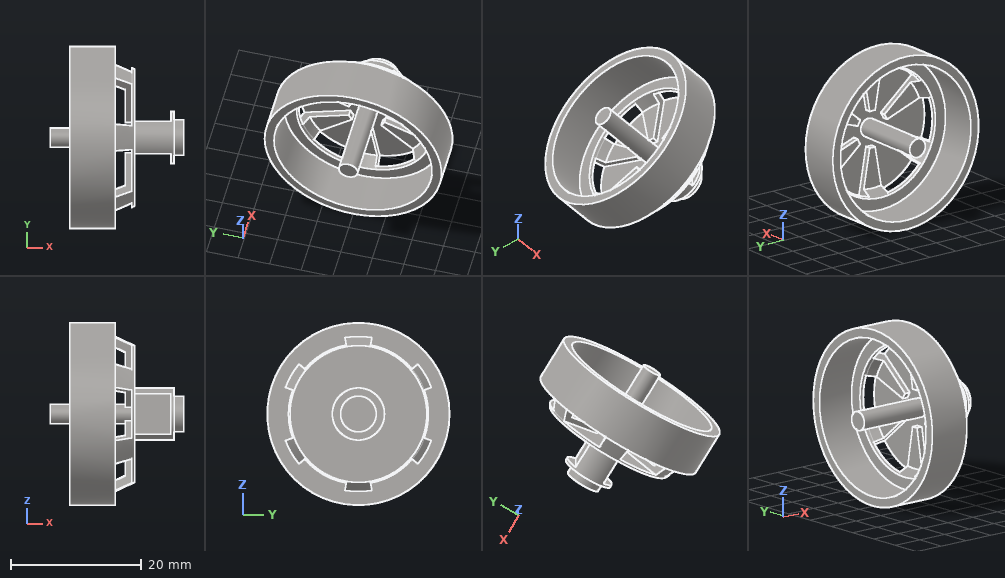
import cadquery as cq
import math

drum_start = 3.0
drum_end = 10.0
end_wall = 0.5
spoke_depth = 0.98
plate_end = 13.0
plate_start = plate_end - end_wall
spoke_start = plate_start - spoke_depth
flats_end = 18.5
hub_end = 19.0
overall_length = 20.5

drum_diameter = 28
drum_bore = 25.0
shaft_diameter = 3.0
hub_diameter = 8.0
tip_diameter = 5.5
hub_across_flats = 5.0

cone_large_radius = 11.9
cone_small_radius = 10.5
opening_radius = 10.55
cone_inner_slope = 0.5
spoke_count = 6
spoke_angle = 20
spoke_inner_radius = 3.0


def cylinder(start, end, diameter):
    """Solid cylinder on the X axis."""
    return cq.Workplane("YZ", origin=(start, 0, 0)).circle(diameter / 2).extrude(end - start)


def revolved(points):
    """Revolve an (x, radius) outline about the X axis."""
    return cq.Workplane("XY").polyline(points).close().revolve(360, (0, 0, 0), (1, 0, 0))


def make_drum():
    wall_start = drum_end - end_wall
    wall_end_radius = opening_radius - cone_inner_slope * end_wall
    return revolved([
        (drum_start, drum_bore / 2),
        (drum_start, drum_diameter / 2),
        (drum_end, drum_diameter / 2),
        (drum_end, wall_end_radius),
        (wall_start, opening_radius),
        (wall_start, drum_bore / 2),
    ])


def cone_radius(x):
    """Outer radius of the cage at station x."""
    fraction = (x - drum_end) / (plate_end - drum_end)
    return cone_large_radius + fraction * (cone_small_radius - cone_large_radius)


def make_plate():
    return revolved([
        (plate_start, 0),
        (plate_start, cone_radius(plate_start)),
        (plate_end, cone_small_radius),
        (plate_end, 0),
    ])


def make_spokes():
    """Bent arms: radial along the plate, then along the cone to the drum."""
    bend_radius = opening_radius - cone_inner_slope * (spoke_start - drum_end + end_wall)
    full_ring = revolved([
        (plate_start, spoke_inner_radius),
        (plate_start, cone_radius(plate_start)),
        (drum_end, cone_large_radius),
        (drum_end, opening_radius - cone_inner_slope * end_wall),
        (spoke_start, bend_radius),
        (spoke_start, spoke_inner_radius),
    ])
    reach = drum_diameter
    half_width = reach * math.tan(math.radians(spoke_angle / 2))
    sector = (
        cq.Workplane("YZ", origin=(drum_end, 0, 0))
        .polyline([(0, 0), (half_width, reach), (-half_width, reach)])
        .close()
        .extrude(plate_start - drum_end)
    )
    spoke = full_ring.intersect(sector)
    return [spoke.rotate((0, 0, 0), (1, 0, 0), i * 360 / spoke_count) for i in range(spoke_count)]


def make_hub():
    """Round hub with two flats facing Y that stop short of its end flange."""
    flats_length = flats_end - plate_end
    flatted = cylinder(plate_end, flats_end, hub_diameter).intersect(
        cq.Workplane("XY")
        .box(flats_length, hub_across_flats, hub_diameter, centered=(False, True, True))
        .translate((plate_end, 0, 0))
    )
    return flatted.union(cylinder(flats_end, hub_end, hub_diameter))


result = make_drum().union(make_plate())
for arm in make_spokes():
    result = result.union(arm)
result = (
    result.union(cylinder(0, plate_start, shaft_diameter))
    .union(make_hub())
    .union(cylinder(hub_end, overall_length, tip_diameter))
)